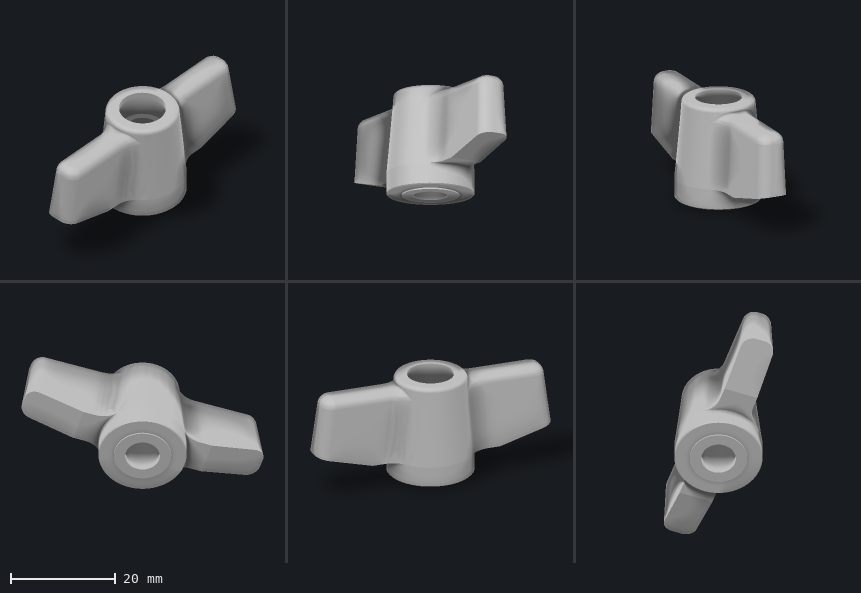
import cadquery as cq
import math

hub_radius = 16.9 / 2
hub_top_radius = 7.0
hub_bottom = 0.3
collar_top = 4.35
total_height = 20.3
rim_fillet = 0.95
collar_chamfer = 0.2
pad_radius = 11.0 / 2
bore_radius = 6.6 / 2
counterbore_radius = 9.0 / 2
counterbore_depth = 5.3

wing_half_length = 24.0
wing_top = 19.3
wing_half_width = 3.3
side_draft = 4.4
end_draft = 6.5
tip_bottom = 7.35
underside_flat_end = 12.95
tip_fillet = 2.3
root_fillet = 5.0
top_fillet = 2.0


def make_collar():
    """Straight collar with a shallow seating pad below it."""
    collar = (
        cq.Workplane("XY", origin=(0, 0, hub_bottom))
        .circle(hub_radius)
        .extrude(collar_top - hub_bottom)
        .faces("<Z").edges().chamfer(collar_chamfer)
    )
    pad = cq.Workplane("XY").circle(pad_radius).extrude(collar_top)
    return collar.union(pad)


def make_cone():
    """Tapered hub body above the collar."""
    return (
        cq.Workplane("YZ")
        .polyline([
            (0, collar_top),
            (hub_radius, collar_top),
            (hub_top_radius, total_height),
            (0, total_height),
        ])
        .close()
        .revolve(360, (0, 0), (0, 1))
    )


def make_wing():
    """Wing along -Y: upright +X side, drafted -X side and drafted tip."""
    side_lean = (wing_top - collar_top) * math.tan(math.radians(side_draft))
    tip_lean = (wing_top - tip_bottom) * math.tan(math.radians(end_draft))
    side_profile = (
        cq.Workplane("YZ", origin=(-wing_half_width, 0, 0))
        .polyline([
            (0, collar_top),
            (-underside_flat_end, collar_top),
            (-wing_half_length, tip_bottom),
            (-wing_half_length + tip_lean, wing_top),
            (0, wing_top),
        ])
        .close()
        .extrude(2 * wing_half_width)
    )
    cross_section = (
        cq.Workplane("XZ")
        .polyline([
            (-wing_half_width, collar_top),
            (wing_half_width, collar_top),
            (wing_half_width, wing_top),
            (-wing_half_width + side_lean, wing_top),
        ])
        .close()
        .extrude(wing_half_length)
    )
    wing = side_profile.intersect(cross_section)
    tip_edges = cq.selectors.BoxSelector(
        (-hub_radius, -wing_half_length, tip_bottom + tip_fillet),
        (hub_radius, -wing_half_length + 2 * tip_lean, wing_top - tip_fillet),
    )
    return wing.edges(tip_edges).fillet(tip_fillet)


def is_root_seam(edge):
    """True for the four steep edges where the wing sides enter the cone."""
    center = edge.Center()
    return (
        abs(center.x) > wing_half_width / 2
        and math.hypot(center.x, center.y) < hub_radius
        and collar_top < center.z < wing_top
        and edge.BoundingBox().zlen > (wing_top - collar_top) / 2
    )


def make_wings_and_cone():
    """Two wings blended into the cone; the wing rounding fades out on the cone."""
    cone = make_cone()
    wing = make_wing()
    opposite_wing = wing.rotate((0, 0, 0), (0, 0, 1), 180)
    blended = cone.union(wing).union(opposite_wing)
    root_seams = [edge for edge in blended.edges().vals() if is_root_seam(edge)]
    blended = blended.newObject(root_seams).fillet(root_fillet)

    above_wings = (
        cq.Workplane("XY", origin=(0, 0, wing_top))
        .circle(hub_radius)
        .extrude(total_height - wing_top)
    )
    blended = blended.cut(above_wings).clean().faces(">Z").edges().fillet(top_fillet)

    rounded_cone = cone.faces(">Z").edges().fillet(rim_fillet)
    return blended.union(rounded_cone)


body = make_wings_and_cone().union(make_collar())
bore = cq.Workplane("XY").circle(bore_radius).extrude(total_height)
counterbore = (
    cq.Workplane("XY", origin=(0, 0, total_height - counterbore_depth))
    .circle(counterbore_radius)
    .extrude(counterbore_depth)
)
result = body.cut(bore).cut(counterbore)